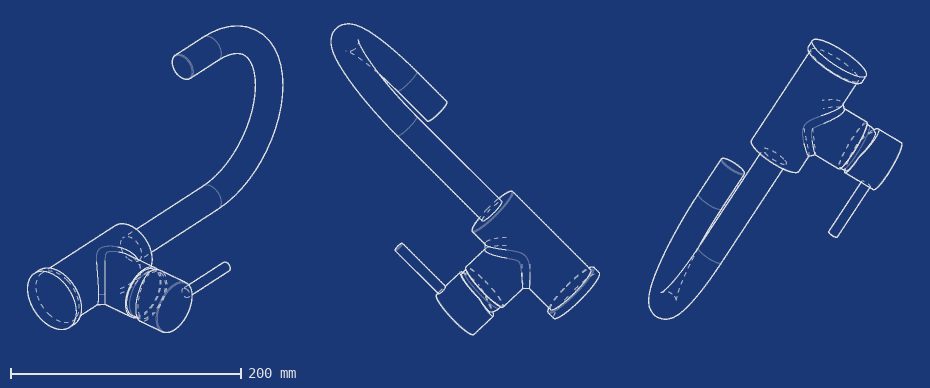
import cadquery as cq
import math

FOOT_RADIUS = 28.0
FOOT_THICKNESS = 7.5
BODY_RADIUS = 24.7
BODY_TOP = 105.5
EDGE_ROUND = 0.75

TOTAL_LENGTH = 301.8
SPOUT_RADIUS = 12.0
BEND_RADIUS = 78.0
OUTLET_END = 173.8
BEND_START = TOTAL_LENGTH - SPOUT_RADIUS - BEND_RADIUS

BRANCH_HEIGHT = 61.3
BRANCH_RADIUS = 23.8
BRANCH_END = 52.2
BRANCH_CHAMFER = 4.0

NECK_RADIUS = 22.3
NECK_DOME_START = 55.5
NECK_ROUND = 12.0

CAP_START = 58.5
CAP_END = 88.0
CAP_TILT = 13.0

LEVER_X = 80.5
LEVER_RADIUS = 4.5
LEVER_END = 139.5


def rod_along_y(radius, start, end, x=0.0):
    """Round bar parallel to Y between two Y positions."""
    plane = cq.Plane(origin=(x, start, 0), xDir=(1, 0, 0), normal=(0, 1, 0))
    return cq.Workplane(plane).circle(radius).extrude(end - start)


def rod_along_x(radius, start, end):
    """Round bar on the branch axis between two X positions."""
    plane = cq.Plane(origin=(start, BRANCH_HEIGHT, 0), xDir=(0, 1, 0), normal=(1, 0, 0))
    return cq.Workplane(plane).circle(radius).extrude(end - start)


def make_body():
    """Body with the side branch chamfered into it, standing on the foot disc."""
    column = rod_along_y(BODY_RADIUS, 0, BODY_TOP)
    branch = rod_along_x(BRANCH_RADIUS, 0, BRANCH_END)
    junction = cq.selectors.BoxSelector(
        (0.3, BRANCH_HEIGHT - BODY_RADIUS, -BODY_RADIUS),
        (BODY_RADIUS, BRANCH_HEIGHT + BODY_RADIUS, BODY_RADIUS),
    )
    joined = column.union(branch).edges(junction).chamfer(BRANCH_CHAMFER)
    joined = joined.faces(">Y").edges().fillet(EDGE_ROUND)
    foot = rod_along_y(FOOT_RADIUS, 0, FOOT_THICKNESS).faces(">Y").edges().fillet(EDGE_ROUND)
    return joined.union(foot)


def make_spout():
    """Tube swept along the riser, the bend and the outlet."""
    path = (
        cq.Workplane("YZ")
        .moveTo(FOOT_THICKNESS, 0)
        .lineTo(BEND_START, 0)
        .threePointArc((BEND_START + BEND_RADIUS, BEND_RADIUS), (BEND_START, 2 * BEND_RADIUS))
        .lineTo(OUTLET_END, 2 * BEND_RADIUS)
    )
    plane = cq.Plane(origin=(0, FOOT_THICKNESS, 0), xDir=(1, 0, 0), normal=(0, 1, 0))
    tube = cq.Workplane(plane).circle(SPOUT_RADIUS).sweep(path)
    outlet_rim = cq.selectors.NearestToPointSelector((0, OUTLET_END, 2 * BEND_RADIUS))
    return tube.faces(outlet_rim).edges().fillet(EDGE_ROUND)


def make_neck():
    """Stub on the branch end, rounded off towards the cap."""
    stub = rod_along_x(NECK_RADIUS, BRANCH_END, NECK_DOME_START + NECK_ROUND)
    return stub.faces(">X").edges().fillet(NECK_ROUND)


def make_cap():
    """Handle cap with a wedge taken off its inner face on the foot side."""
    cap = rod_along_x(BRANCH_RADIUS, CAP_START, CAP_END).faces(">X").edges().fillet(EDGE_ROUND)
    wedge_depth = BRANCH_RADIUS + 3
    wedge_width = wedge_depth * math.tan(math.radians(CAP_TILT))
    wedge = (
        cq.Workplane("XY")
        .moveTo(CAP_START, BRANCH_HEIGHT)
        .lineTo(CAP_START + wedge_width, BRANCH_HEIGHT - wedge_depth)
        .lineTo(CAP_START, BRANCH_HEIGHT - wedge_depth)
        .close()
        .extrude(wedge_depth, both=True)
    )
    return cap.cut(wedge)


def make_lever():
    """Lever rod starting inside the cap."""
    rod = rod_along_y(LEVER_RADIUS, BRANCH_HEIGHT, LEVER_END, x=LEVER_X)
    return rod.faces(">Y").edges().fillet(EDGE_ROUND)


result = make_body().union(make_spout()).union(make_neck()).union(make_cap()).union(make_lever())